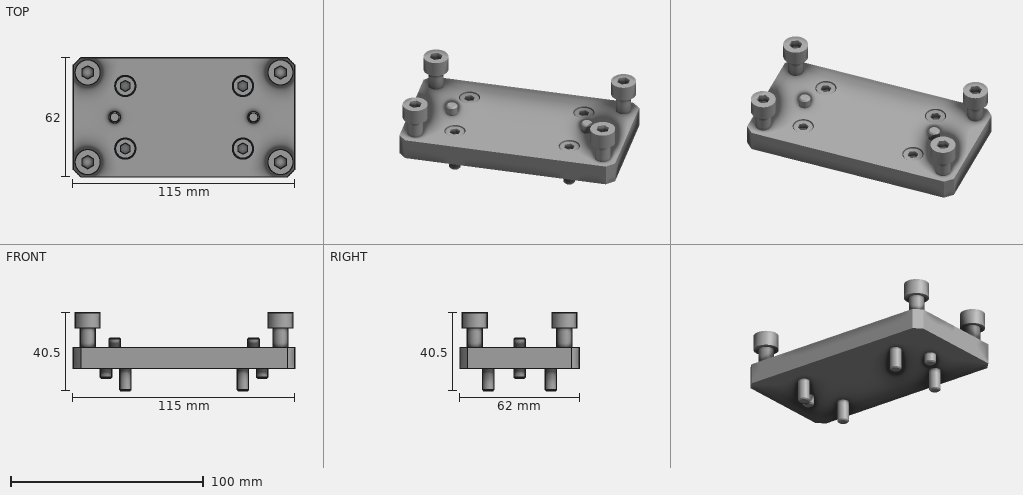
import cadquery as cq
import math

plate_length = 115.0
plate_width = 62.0
plate_thickness = 11.0
plate_corner_chamfer = 4.0

corner_screw_x = 50.0
corner_screw_y = 23.25
corner_screw_top = plate_thickness + 18.0
corner_head_diameter = 13.0
corner_head_height = 8.0
corner_shank_diameter = 8.0
corner_socket_flats = 6.0
corner_socket_depth = 4.0

sunk_screw_x = 30.5
sunk_screw_y = 16.25
sunk_head_diameter = 10.0
sunk_head_height = 6.0
sunk_head_recess = 0.5
sunk_shank_diameter = 6.0
sunk_shank_length = 16.0
sunk_tip_chamfer = 0.6
sunk_socket_flats = 5.0
sunk_socket_depth = 3.0
counterbore_diameter = 11.0
counterbore_depth = sunk_head_recess + sunk_head_height

pin_diameter = 6.0
pin_projection = 5.0
pin_chamfer = 0.7
upper_pin_x = 36.0
lower_pin_x = 40.5


def cylinder(diameter, bottom, height):
    """Upright cylinder on the Z axis."""
    return cq.Workplane("XY").workplane(offset=bottom).circle(diameter / 2).extrude(height)


def hex_socket(flats, top, depth):
    """Hexagonal prism cutter with two corners on the Y axis."""
    across_corners = flats / math.cos(math.pi / 6)
    prism = cq.Workplane("XY").workplane(offset=top - depth).polygon(6, across_corners).extrude(depth)
    return prism.rotate((0, 0, 0), (0, 0, 1), 90)


def four_places(x, y):
    """Points mirrored about both the X and Y axes."""
    return [(sign_x * x, sign_y * y) for sign_x in (-1, 1) for sign_y in (-1, 1)]


def make_plate():
    """Rectangular plate with its four upright edges chamfered."""
    plate = cq.Workplane("XY").box(
        plate_length, plate_width, plate_thickness, centered=(True, True, False)
    )
    return plate.edges("|Z").chamfer(plate_corner_chamfer)


def make_corner_screw():
    """Cap screw whose shank ends on the top face of the plate."""
    head_bottom = corner_screw_top - corner_head_height
    head = cylinder(corner_head_diameter, head_bottom, corner_head_height)
    shank = cylinder(corner_shank_diameter, plate_thickness, head_bottom - plate_thickness)
    socket = hex_socket(corner_socket_flats, corner_screw_top, corner_socket_depth)
    return head.union(shank).cut(socket)


def make_sunk_screw():
    """Cap screw whose head rests on the counterbore floor."""
    head_bottom = plate_thickness - counterbore_depth
    head_top = head_bottom + sunk_head_height
    head = cylinder(sunk_head_diameter, head_bottom, sunk_head_height)
    shank = cylinder(sunk_shank_diameter, head_bottom - sunk_shank_length, sunk_shank_length)
    shank = shank.faces("<Z").chamfer(sunk_tip_chamfer)
    socket = hex_socket(sunk_socket_flats, head_top, sunk_socket_depth)
    return head.union(shank).cut(socket)


def make_counterbore():
    """Cutter for the pocket around a sunk screw head."""
    return cylinder(counterbore_diameter, plate_thickness - counterbore_depth, counterbore_depth)


def make_upper_pin():
    """Dowel pin end above the plate."""
    return cylinder(pin_diameter, plate_thickness, pin_projection).faces(">Z").chamfer(pin_chamfer)


def make_lower_pin():
    """Dowel pin end below the plate."""
    return cylinder(pin_diameter, -pin_projection, pin_projection).faces("<Z").chamfer(pin_chamfer)


part = make_plate()

for x, y in four_places(sunk_screw_x, sunk_screw_y):
    part = part.cut(make_counterbore().translate((x, y, 0)))
    part = part.union(make_sunk_screw().translate((x, y, 0)))

for x, y in four_places(corner_screw_x, corner_screw_y):
    part = part.union(make_corner_screw().translate((x, y, 0)))

for side in (-1, 1):
    part = part.union(make_upper_pin().translate((side * upper_pin_x, 0, 0)))
    part = part.union(make_lower_pin().translate((side * lower_pin_x, 0, 0)))

result = part